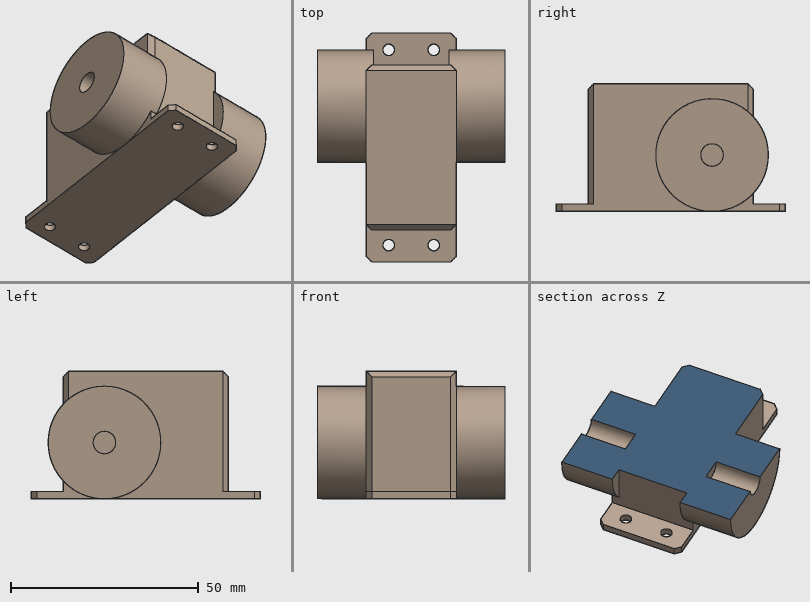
import cadquery as cq

base_length = 61.0
base_thickness = 2.0
mount_hole_diameter = 3.0
mount_hole_spacing_x = 12.0
mount_hole_spacing_y = 52.0

housing_width = 24.0
housing_length = 44.0
total_height = 34.0
corner_chamfer = 1.5

drum_radius = 15.0
drum_length = 15.0
overall_width = 50.0
drum_axis_y = 11.0
drum_axis_z = drum_radius
bore_diameter = 6.0
bore_depth = (overall_width - housing_width) / 2


def make_base():
    """Flat plate with cut corners and four mounting holes, underside at Z = 0."""
    plate = (
        cq.Workplane("XY")
        .box(housing_width, base_length, base_thickness, centered=(True, True, False))
        .edges("|Z")
        .chamfer(corner_chamfer)
    )
    return (
        plate.faces(">Z")
        .workplane()
        .rarray(mount_hole_spacing_x, mount_hole_spacing_y, 2, 2)
        .hole(mount_hole_diameter)
    )


def make_housing():
    """Block whose two end faces are chamfered along their sides and top."""
    block = (
        cq.Workplane("XY")
        .workplane(offset=base_thickness)
        .box(
            housing_width,
            housing_length,
            total_height - base_thickness,
            centered=(True, True, False),
        )
    )
    return block.faces("<Y or >Y").edges("|Z or >Z").chamfer(corner_chamfer)


def make_corner_foot(side):
    """Post that keeps the rear housing corner square from the base plate up into the drum."""
    foot_centre_x = side * (housing_width - corner_chamfer) / 2
    foot_centre_y = (housing_length - corner_chamfer) / 2
    return (
        cq.Workplane("XY")
        .workplane(offset=base_thickness)
        .center(foot_centre_x, foot_centre_y)
        .rect(corner_chamfer, corner_chamfer)
        .extrude(drum_axis_z - base_thickness)
    )


def axial_cylinder(side, radius, length):
    """Cylinder on the drum axis, running inward from the outer end of one side (-1 or +1)."""
    return cq.Workplane(
        cq.Solid.makeCylinder(
            radius,
            length,
            cq.Vector(side * overall_width / 2, drum_axis_y, drum_axis_z),
            cq.Vector(-side, 0, 0),
        )
    )


result = make_base().union(make_housing())
for drum_side in (-1, 1):
    result = result.union(make_corner_foot(drum_side))
    result = result.union(axial_cylinder(drum_side, drum_radius, drum_length))
    result = result.cut(axial_cylinder(drum_side, bore_diameter / 2, bore_depth))